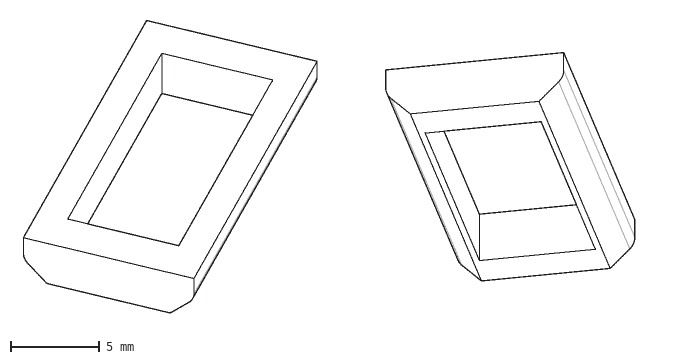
import cadquery as cq

width = 10.3
length = 20.2
height = 3.0

window_width = 6.7
window_length = 15.4

bevel = 1.43
shoulder_radius = 1.0


def bevelled_bar():
    """Bar along Y, centred in X and Y, with its underside at Z = 0."""
    half_width = width / 2
    half_base = half_width - bevel
    profile = [
        (-half_base, 0),
        (half_base, 0),
        (half_width, bevel),
        (half_width, height),
        (-half_width, height),
        (-half_width, bevel),
    ]
    end_plane = cq.Workplane("XZ", origin=(0, length / 2, 0))
    bar = end_plane.polyline(profile).close().extrude(length)

    for side in (-1, 1):
        shoulder = cq.selectors.NearestToPointSelector((side * half_width, 0, bevel))
        bar = bar.edges("|Y").edges(shoulder).fillet(shoulder_radius)
    return bar


def window():
    """Cutter for the central opening."""
    return cq.Workplane("XY").rect(window_width, window_length).extrude(height)


result = bevelled_bar().cut(window())